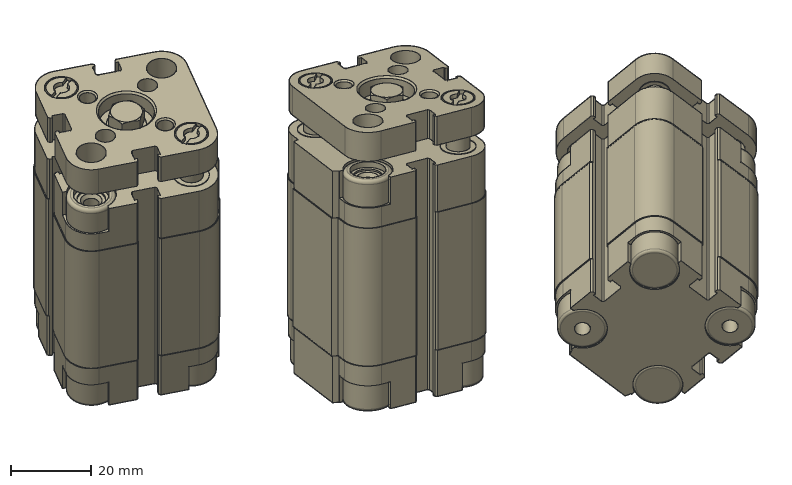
import cadquery as cq
import math

TOTAL_HEIGHT = 78.0
PLATE_THICKNESS = 8.0
PLATE_GAP = 5.45
CAP_HEIGHT = 13.0
PLATE_BOTTOM = TOTAL_HEIGHT - PLATE_THICKNESS
HOUSING_TOP = PLATE_BOTTOM - PLATE_GAP
BARREL_TOP = HOUSING_TOP - CAP_HEIGHT

BARREL_WIDTH = 40.0
BARREL_HALF = BARREL_WIDTH / 2
CAP_HALF = 19.7
PLATE_HALF = 19.6
CORNER_OFFSET = 13.0

SLOT_FLOOR = 15.1
SLOT_LIP = 18.4
SLOT_HALF = 3.35
MOUTH_HALF = 2.65
LIP_CHAMFER = 0.5
SLOT_CORNER_CHAMFER = 0.4
SLOT_SIDES = (0, 90, -90)

PAD_RISE = 1.5
PAD_OUTER_HALF = 9.6
PAD_BASE_HALF = 10.15

BOSS_DIAMETER = 12.5
BOSS_HEIGHT = 7.5
NOTCH_EDGE = 10.4
TOP_BOSS_FILLET = 1.0
BOTTOM_BOSS_FILLET = 0.7
TOP_BOSS_DROP = 0.15
BOSS_SINK_DIAMETER = 9.0
BOSS_SINK_DEPTH = 1.55
BOSS_BORE_DIAMETER = 7.2
BOSS_BORE_DEPTH = 2.0
THROUGH_DIAMETER = 4.0
THROUGH_MOUTH_DIAMETER = 5.4
THROUGH_MOUTH_DEPTH = 1.0

PISTON_ROD_DIAMETER = 10.0
ROD_FLAT_WIDTH = 9.05
ROD_FLAT_END = 1.2
GUIDE_ROD_DIAMETER = 6.0
ROD_DEPTH = CAP_HEIGHT
BUSHING_DIAMETER = 9.0
BUSHING_RECESS = 0.15

SCREW_DIAMETER = 8.5
SCREW_END_DIAMETER = 8.1
SCREW_STICK_OUT = 0.2
SCREW_FACE_DIAMETER = 7.7
SCREW_CHAMFER_HEIGHT = 0.9
SCREW_SLOT_WIDTH = 1.4
SCREW_SLOT_DEPTH = 1.1
SCREW_SLOT_TURN = -45
SOCKET_TOP_DIAMETER = 4.0
SOCKET_FLOOR_DIAMETER = 3.7

ACCESS_DIAMETER = 7.5
PATTERN_OFFSET = 7.8
PLAIN_DIAMETER = 5.0
THREAD_DIAMETER = 4.1
THREAD_MOUTH_DIAMETER = 5.0
CENTRE_DIAMETER = 14.0
CENTRE_MOUTH_DIAMETER = 15.0
CENTRE_DEPTH = 4.5

HEX_ACROSS_FLATS = 8.0
HEX_SIDES = 6
HEX_TURN = 180 / HEX_SIDES
HEX_TOP_DROP = 0.3
HEX_CHAMFER_HEIGHT = 0.3
COLLAR_RISE = 0.2

ROD_CORNERS = [(-CORNER_OFFSET, -CORNER_OFFSET), (CORNER_OFFSET, CORNER_OFFSET)]
BOSS_CORNERS = [(-CORNER_OFFSET, CORNER_OFFSET), (CORNER_OFFSET, -CORNER_OFFSET)]


def cylinder(diameter, bottom, top, place=(0, 0)):
    """Upright cylinder between two heights."""
    base = cq.Workplane("XY", origin=(place[0], place[1], bottom))
    return base.circle(diameter / 2).extrude(top - bottom)


def cone(bottom_diameter, top_diameter, bottom, top, place=(0, 0)):
    """Upright truncated cone between two heights."""
    solid = cq.Solid.makeCone(
        bottom_diameter / 2,
        top_diameter / 2,
        top - bottom,
        cq.Vector(place[0], place[1], bottom),
    )
    return cq.Workplane(solid)


def rounded_block(half, bottom, top):
    """Square block whose rounded corners share the corner axes."""
    block = cq.Workplane("XY", origin=(0, 0, bottom)).rect(2 * half, 2 * half).extrude(top - bottom)
    return block.edges("|Z").fillet(half - CORNER_OFFSET)


def cut_side_slots(block, half, bottom, top):
    """Cut the lipped slots into the -Y, +X and -X sides."""
    right_side = [
        (MOUTH_HALF + LIP_CHAMFER, -half),
        (MOUTH_HALF, LIP_CHAMFER - half),
        (MOUTH_HALF, -SLOT_LIP),
        (SLOT_HALF, -SLOT_LIP),
        (SLOT_HALF, -SLOT_FLOOR - SLOT_CORNER_CHAMFER),
        (SLOT_HALF - SLOT_CORNER_CHAMFER, -SLOT_FLOOR),
    ]
    left_side = [(-x, y) for x, y in reversed(right_side)]
    slot = cq.Workplane("XY", origin=(0, 0, bottom)).polyline(right_side + left_side).close()
    slot = slot.extrude(top - bottom)
    for turn in SLOT_SIDES:
        block = block.cut(slot.rotate((0, 0, 0), (0, 0, 1), turn))
    return block


def housing_section(half, bottom, top):
    """One length of the housing with its slots and its +Y pad."""
    block = cut_side_slots(rounded_block(half, bottom, top), half, bottom, top)
    outline = [
        (-PAD_BASE_HALF, half),
        (-PAD_OUTER_HALF, half + PAD_RISE),
        (PAD_OUTER_HALF, half + PAD_RISE),
        (PAD_BASE_HALF, half),
        (PAD_BASE_HALF, CORNER_OFFSET),
        (-PAD_BASE_HALF, CORNER_OFFSET),
    ]
    pad = cq.Workplane("XY", origin=(0, 0, bottom)).polyline(outline).close().extrude(top - bottom)
    return block.union(pad)


def corner_notch(place, bottom):
    """Square corner cut that leaves a round boss standing."""
    side_x = math.copysign(1, place[0])
    side_y = math.copysign(1, place[1])
    size = BARREL_HALF - NOTCH_EDGE
    middle = NOTCH_EDGE + size / 2
    block = cq.Workplane("XY", origin=(side_x * middle, side_y * middle, bottom))
    block = block.rect(size, size).extrude(BOSS_HEIGHT)
    return block.cut(cylinder(BOSS_DIAMETER, bottom, bottom + BOSS_HEIGHT, place))


def boss_rim(place, end, inward, fillet):
    """Ring to remove so that the boss gets a rounded rim at the height `end`."""
    far = end + inward * BOSS_HEIGHT
    bottom, top = min(end, far), max(end, far)
    boss = cylinder(BOSS_DIAMETER, bottom, top, place)
    return boss.cut(boss.faces("<Z" if inward > 0 else ">Z").edges().fillet(fillet))


def make_housing():
    """Barrel with its two end caps, corner bosses, through holes and rod holes."""
    housing = housing_section(CAP_HALF, 0, CAP_HEIGHT)
    housing = housing.union(housing_section(BARREL_HALF, CAP_HEIGHT, BARREL_TOP))
    housing = housing.union(housing_section(CAP_HALF, BARREL_TOP, HOUSING_TOP))

    for place in BOSS_CORNERS + ROD_CORNERS:
        housing = housing.cut(corner_notch(place, 0))
        housing = housing.cut(boss_rim(place, 0, 1, BOTTOM_BOSS_FILLET))

    boss_top = HOUSING_TOP - TOP_BOSS_DROP
    bore_floor = boss_top - BOSS_BORE_DEPTH
    for place in BOSS_CORNERS:
        housing = housing.cut(corner_notch(place, HOUSING_TOP - BOSS_HEIGHT))
        housing = housing.cut(boss_rim(place, boss_top, -1, TOP_BOSS_FILLET))
        housing = housing.cut(cylinder(BOSS_DIAMETER, boss_top, HOUSING_TOP, place))
        sink_bottom = boss_top - BOSS_SINK_DEPTH
        housing = housing.cut(cylinder(BOSS_SINK_DIAMETER, sink_bottom, boss_top, place))
        housing = housing.cut(cylinder(BOSS_BORE_DIAMETER, bore_floor, HOUSING_TOP, place))
        mouth_bottom = bore_floor - THROUGH_MOUTH_DEPTH
        mouth = cone(THROUGH_DIAMETER, THROUGH_MOUTH_DIAMETER, mouth_bottom, bore_floor, place)
        housing = housing.cut(mouth)
        housing = housing.cut(cylinder(THROUGH_DIAMETER, 0, HOUSING_TOP, place))

    rod_end = HOUSING_TOP - ROD_DEPTH
    housing = housing.cut(cylinder(PISTON_ROD_DIAMETER, rod_end, HOUSING_TOP))
    for place in ROD_CORNERS:
        housing = housing.cut(cylinder(GUIDE_ROD_DIAMETER, rod_end, HOUSING_TOP, place))
        housing = housing.cut(cylinder(BUSHING_DIAMETER, HOUSING_TOP - BUSHING_RECESS, HOUSING_TOP, place))
    return housing


def make_plate():
    """Slotted plate with its centre recess and round holes."""
    plate = rounded_block(PLATE_HALF, PLATE_BOTTOM, TOTAL_HEIGHT)
    plate = cut_side_slots(plate, PLATE_HALF, PLATE_BOTTOM, TOTAL_HEIGHT)

    plate = plate.cut(cylinder(CENTRE_DIAMETER, TOTAL_HEIGHT - CENTRE_DEPTH, TOTAL_HEIGHT))
    mouth_bottom = TOTAL_HEIGHT - (CENTRE_MOUTH_DIAMETER - CENTRE_DIAMETER) / 2
    plate = plate.cut(cone(CENTRE_DIAMETER, CENTRE_MOUTH_DIAMETER, mouth_bottom, TOTAL_HEIGHT))

    for place in BOSS_CORNERS:
        plate = plate.cut(cylinder(ACCESS_DIAMETER, PLATE_BOTTOM, TOTAL_HEIGHT, place))

    thread_mouth_bottom = TOTAL_HEIGHT - (THREAD_MOUTH_DIAMETER - THREAD_DIAMETER) / 2
    for side in (-1, 1):
        plain_place = (side * PATTERN_OFFSET, -side * PATTERN_OFFSET)
        plate = plate.cut(cylinder(PLAIN_DIAMETER, PLATE_BOTTOM, TOTAL_HEIGHT, plain_place))
        thread_place = (side * PATTERN_OFFSET, side * PATTERN_OFFSET)
        plate = plate.cut(cylinder(THREAD_DIAMETER, PLATE_BOTTOM, TOTAL_HEIGHT, thread_place))
        thread_mouth = cone(
            THREAD_DIAMETER, THREAD_MOUTH_DIAMETER, thread_mouth_bottom, TOTAL_HEIGHT, thread_place
        )
        plate = plate.cut(thread_mouth)
    return plate


def make_piston_rod():
    """Round rod with two wrench flats, a collar and a hexagonal end."""
    recess_floor = TOTAL_HEIGHT - CENTRE_DEPTH
    collar_top = recess_floor + COLLAR_RISE
    rod = cylinder(PISTON_ROD_DIAMETER, HOUSING_TOP - ROD_DEPTH, collar_top)

    flat_bottom = HOUSING_TOP + ROD_FLAT_END
    for side in (-1, 1):
        block = cq.Workplane("XY", origin=(0, side * (ROD_FLAT_WIDTH + PISTON_ROD_DIAMETER) / 2, flat_bottom))
        block = block.rect(PISTON_ROD_DIAMETER, PISTON_ROD_DIAMETER).extrude(PLATE_BOTTOM - flat_bottom)
        rod = rod.cut(block)

    hex_top = TOTAL_HEIGHT - HEX_TOP_DROP
    across_corners = HEX_ACROSS_FLATS / math.cos(math.pi / HEX_SIDES)
    hexagon = cq.Workplane("XY", origin=(0, 0, collar_top)).polygon(HEX_SIDES, across_corners)
    hexagon = hexagon.extrude(hex_top - collar_top).rotate((0, 0, 0), (0, 0, 1), HEX_TURN)
    chamfer_bottom = hex_top - HEX_CHAMFER_HEIGHT
    envelope = cylinder(across_corners, collar_top, chamfer_bottom)
    envelope = envelope.union(cone(across_corners, HEX_ACROSS_FLATS, chamfer_bottom, hex_top))
    return rod.union(hexagon.intersect(envelope))


def add_guide(plate, place):
    """Fit one guide rod and its slotted screw head into the plate."""
    chamfer_bottom = TOTAL_HEIGHT - SCREW_CHAMFER_HEIGHT
    socket_floor = TOTAL_HEIGHT - SCREW_SLOT_DEPTH
    guide = cylinder(GUIDE_ROD_DIAMETER, HOUSING_TOP - ROD_DEPTH, PLATE_BOTTOM, place)
    guide = guide.union(cylinder(SCREW_END_DIAMETER, PLATE_BOTTOM - SCREW_STICK_OUT, PLATE_BOTTOM, place))
    guide = guide.union(cylinder(SCREW_DIAMETER, PLATE_BOTTOM, chamfer_bottom, place))
    guide = guide.union(cone(SCREW_DIAMETER, SCREW_FACE_DIAMETER, chamfer_bottom, TOTAL_HEIGHT, place))

    slot = cq.Workplane("XY", origin=(0, 0, socket_floor)).rect(SCREW_DIAMETER, SCREW_SLOT_WIDTH)
    slot = slot.extrude(SCREW_SLOT_DEPTH).rotate((0, 0, 0), (0, 0, 1), SCREW_SLOT_TURN)
    guide = guide.cut(slot.translate((place[0], place[1], 0)))
    guide = guide.cut(cone(SOCKET_FLOOR_DIAMETER, SOCKET_TOP_DIAMETER, socket_floor, TOTAL_HEIGHT, place))
    return plate.cut(cylinder(SCREW_DIAMETER, PLATE_BOTTOM, TOTAL_HEIGHT, place)).union(guide)


def make_moving_plate():
    """Plate, piston rod and guide rods as one solid."""
    moving = make_plate().union(make_piston_rod())
    for place in ROD_CORNERS:
        moving = add_guide(moving, place)
    return moving


housing = make_housing()
moving_plate = make_moving_plate()

result = cq.Compound.makeCompound([housing.val(), moving_plate.val()])